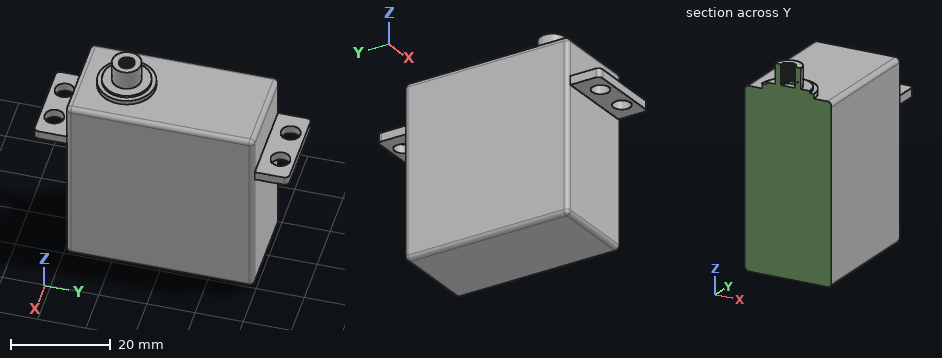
import cadquery as cq
case_width = 20.0
case_length = 39.0
case_height = 40.0
edge_radius = 1.0

overall_length = 53.0
ear_thickness = 2.0
ear_width = case_width - 2 * edge_radius
ear_reach = (overall_length - case_length) / 2
ear_corner_radius = edge_radius
front_ear_top = 31.25
back_ear_top = 31.0
ear_hole_diameter = 4.0
ear_hole_spacing = 2 * ear_hole_diameter
ear_hole_to_case = ear_hole_diameter

overall_height = 46.0
shaft_to_case_end = case_width / 2
shaft_y = -case_length / 2 + shaft_to_case_end
collar_diameter = 12.0
collar_height = 1.0
step_diameter = 10.0
step_height = 0.5
shaft_diameter = 6.0
bore_diameter = 3.0

thread_pitch = 0.35
thread_depth = 0.13
thread_groove_width = 0.25
thread_inner_overlap = 0.02
thread_end_angle = 160


def make_case():
    """Box with every edge rounded."""
    box = cq.Workplane("XY").box(case_width, case_length, case_height, centered=(True, True, False))
    return box.edges().fillet(edge_radius)


def make_ear(side, top):
    """Plate with two screw holes; side is -1 for the -Y end and +1 for the +Y end."""
    case_end = side * case_length / 2
    hole_y = case_end + side * ear_hole_to_case
    plate = (
        cq.Workplane("XY", origin=(0, case_end + side * ear_reach / 2, top - ear_thickness))
        .box(ear_width, ear_reach, ear_thickness, centered=(True, True, False))
    )
    outer_face = plate.faces(">Y" if side > 0 else "<Y")
    plate = outer_face.edges("|Z").fillet(ear_corner_radius)
    holes = (
        cq.Workplane("XY", origin=(0, hole_y, top - ear_thickness))
        .pushPoints([(-ear_hole_spacing / 2, 0), (ear_hole_spacing / 2, 0)])
        .circle(ear_hole_diameter / 2)
        .extrude(ear_thickness)
    )
    return plate.cut(holes)


def shaft_cylinder(diameter, bottom, top):
    """Upright cylinder on the shaft axis between two heights, with its seam on the -X side."""
    base_plane = cq.Plane(origin=(0, shaft_y, bottom), xDir=(-1, 0, 0), normal=(0, 0, 1))
    return cq.Workplane(base_plane).circle(diameter / 2).extrude(top - bottom)


def make_thread_groove(bottom, top):
    """V-shaped groove winding up the bore wall, ending on the top plane at thread_end_angle."""
    bore_radius = bore_diameter / 2
    rise = top - bottom
    slope = thread_groove_width / 2 / thread_depth
    mouth_half_width = thread_groove_width / 2 + slope * thread_inner_overlap
    mouth_radius = bore_radius - thread_inner_overlap
    helix = cq.Wire.makeHelix(thread_pitch, rise, bore_radius)
    groove = (
        cq.Workplane("XZ")
        .moveTo(mouth_radius, -mouth_half_width)
        .lineTo(bore_radius + thread_depth, 0)
        .lineTo(mouth_radius, mouth_half_width)
        .close()
        .sweep(cq.Workplane(helix), isFrenet=True)
    )
    start_angle = thread_end_angle - 360 * rise / thread_pitch
    return groove.rotate((0, 0, 0), (0, 0, 1), start_angle).translate((0, shaft_y, bottom))


def make_shaft():
    """Two collar steps and a shaft with a blind threaded bore in its end."""
    collar_top = case_height + collar_height
    step_top = collar_top + step_height
    collar = shaft_cylinder(collar_diameter, case_height, collar_top)
    step = shaft_cylinder(step_diameter, collar_top, step_top)
    shaft = shaft_cylinder(shaft_diameter, step_top, overall_height)
    bore = shaft_cylinder(bore_diameter, step_top, overall_height)
    thread_groove = make_thread_groove(step_top + thread_pitch, overall_height)
    return collar.union(step).union(shaft).cut(bore).cut(thread_groove)


result = (
    make_case()
    .union(make_ear(-1, front_ear_top))
    .union(make_ear(1, back_ear_top))
    .union(make_shaft())
)